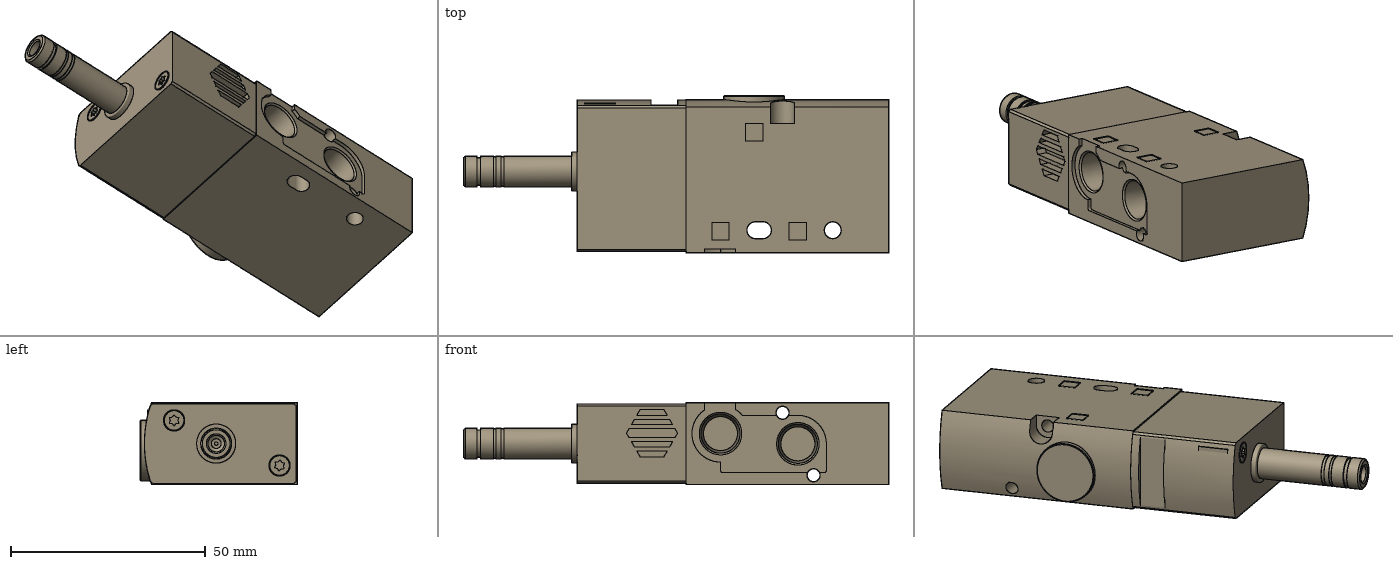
import cadquery as cq
import math

TOTAL_LENGTH = 109.1
FLANGE_START = 27.7
PILOT_START = 29.1
SEAM_X = 57.1
VALVE_HEIGHT = 21.1
MID_Z = VALVE_HEIGHT / 2
REAR_EDGE_Y = 37.4
REAR_CROWN_Y = 39.3

PORT_3 = (65.9, 13.1)
PORT_1 = (85.8, 10.5)
PORT_MOUTH_DIAMETER = 10.9
PORT_DIAMETER = 10.0
PORT_END_DIAMETER = 8.7
PORT_CHAMFER = 0.4
PORT_DEPTH = 9.8

RECESS_DEPTH = 1.0
RECESS_RADIUS = 7.3
RECESS_END_X = PORT_1[0] + RECESS_RADIUS
RECESS_BOTTOM_Z = 3.1
RECESS_CORNER_RADIUS = 0.7
OUTLET_START_X = 61.9
OUTLET_END_X = 69.7

BOSS_X = 74.5
BOSS_Z = 8.7
BOSS_DIAMETER = 15.6
BOSS_FACE_Y = 40.4
BOSS_CHAMFER = 0.2

CROSS_HOLE_DIAMETER = 3.3
UPPER_CROSS_HOLE = (81.8, 18.4)
LOWER_CROSS_HOLE = (89.8, 2.4)
HEAD_SEAT_WIDTH = 6.2
HEAD_SEAT_Y = 33.2
VERTICAL_HOLE_DIAMETER = 4.3
VERTICAL_HOLE_Y = 5.8
ROUND_HOLE_X = 94.7
SLOT_X = (PORT_1[0] + PORT_3[0]) / 2
SLOT_LENGTH = 6.2

LABEL_SIZE = 4.5
LABEL_DEPTH = 0.2
FRONT_LABEL_Y = 5.6
REAR_LABEL_Y = 30.9

PILOT_INSET = 0.3
PILOT_TOP_Z = VALVE_HEIGHT - PILOT_INSET
PILOT_REAR_EDGE_Y = 37.6
PILOT_CHAMFER = 0.5
REAR_GROOVE_START_X = 48.1
REAR_GROOVE_END_X = 54.9
REAR_GROOVE_Y = 38.0
PAD_START_X = 31.0
PAD_END_X = 39.0
PAD_BOTTOM_Z = 14.2
PAD_TOP_Z = 19.1
PAD_FACE_Y = 38.4

LOUVRE_X = 48.3
LOUVRE_Z = 13.2
LOUVRE_HALF_WIDTH = 6.5
LOUVRE_TIP_SLOPE = 1 / math.sqrt(3)
LOUVRE_DEPTH = 2.7
LOUVRE_SLOTS = ((-5.3, 1.5), (-2.8, 1.3), (0, 2.3), (2.8, 1.3), (5.3, 1.5))

TUBE_AXIS_Y = 20.8
TUBE_DIAMETER = 8.0
TUBE_TIP_CHAMFER = 0.4
GROOVE_DIAMETER = 7.1
GROOVE_START_X = 3.4
GROOVE_WIDTH = 1.0
SHALLOW_GROOVE_DIAMETER = 7.6
SHALLOW_GROOVES = ((7.6, 0.7), (9.6, 0.8))
FLANGE_DIAMETER = 10.0
FLANGE_FILLET = 0.2
BORE_MOUTH_DIAMETER = 5.0
BORE_DIAMETER = 4.3
BORE_CHAMFER = 0.3
BORE_DEPTH = 2.7
SEAT_DIAMETER = 2.5
SEAT_DEPTH = 3.3
PIN_HOLE_DIAMETER = 0.9
PIN_HOLE_DEPTH = 4.4

SCREW_PLACES = ((31.6, 16.5, 0), (4.6, 4.9, 6))
SCREW_DIAMETER = 5.5
SCREW_LENGTH = 5.5
SCREW_CHAMFER = 0.2
LOBE_COUNT = 6
DRIVE_OUTER_RADIUS = 1.4
DRIVE_INNER_RADIUS = 1.0
DRIVE_DEPTH = 1.1


def block(x_range, y_range, z_range):
    """Axis-aligned box between two limits on each axis."""
    size = [limits[1] - limits[0] for limits in (x_range, y_range, z_range)]
    corner = (x_range[0], y_range[0], z_range[0])
    return cq.Workplane("XY").box(*size, centered=False).translate(corner)


def cylinder_y(center_xz, diameter, start_y, end_y):
    """Cylinder along Y between two faces."""
    x, z = center_xz
    plane = cq.Workplane("XZ", origin=(x, start_y, z))
    return plane.circle(diameter / 2).extrude(start_y - end_y)


def cylinder_x(center_yz, diameter, start_x, end_x):
    """Cylinder along X between two faces."""
    y, z = center_yz
    return cq.Workplane("YZ", origin=(start_x, y, z)).circle(diameter / 2).extrude(end_x - start_x)


def crowned_prism(start_x, end_x, front_y, rear_edge_y, bottom_z, top_z):
    """Prism along X whose rear face is crowned to an arc."""
    return (
        cq.Workplane("YZ", origin=(start_x, 0, 0))
        .moveTo(rear_edge_y, bottom_z)
        .lineTo(front_y, bottom_z)
        .lineTo(front_y, top_z)
        .lineTo(rear_edge_y, top_z)
        .threePointArc((REAR_CROWN_Y, MID_Z), (rear_edge_y, bottom_z))
        .close()
        .extrude(end_x - start_x)
    )


def port(center_xz):
    """Tapered port bore with a chamfered mouth at the recess floor."""
    mouth = RECESS_DEPTH + PORT_CHAMFER
    floor = RECESS_DEPTH + PORT_DEPTH
    profile = (
        cq.Workplane("XY")
        .polyline(
            [
                (0, RECESS_DEPTH),
                (PORT_MOUTH_DIAMETER / 2, RECESS_DEPTH),
                (PORT_DIAMETER / 2, mouth),
                (PORT_END_DIAMETER / 2, floor),
                (0, floor),
            ]
        )
        .close()
    )
    x, z = center_xz
    return profile.revolve(360, (0, 0, 0), (0, 1, 0)).translate((x, 0, z))


def gasket_recess():
    """Shallow recess that wraps both front ports and opens at the top edge."""
    depth_range = (0, RECESS_DEPTH)
    recess_top_z = PORT_1[1] + RECESS_RADIUS
    floor = block((PORT_3[0], RECESS_END_X), depth_range, (RECESS_BOTTOM_Z, recess_top_z))
    floor = floor.edges("|Y and >X and >Z").fillet(RECESS_RADIUS)
    floor = floor.edges("|Y and <Z").fillet(RECESS_CORNER_RADIUS)
    outlet = block((OUTLET_START_X, OUTLET_END_X), depth_range, (PORT_3[1], VALVE_HEIGHT))
    return floor.union(cylinder_y(PORT_3, 2 * RECESS_RADIUS, *depth_range)).union(outlet)


def head_seat():
    """Round-bottomed screw head seat around the upper cross hole, open at the top and rear."""
    x, z = UPPER_CROSS_HOLE
    half = HEAD_SEAT_WIDTH / 2
    round_part = cylinder_y(UPPER_CROSS_HOLE, HEAD_SEAT_WIDTH, HEAD_SEAT_Y, REAR_CROWN_Y)
    open_part = block((x - half, x + half), (HEAD_SEAT_Y, REAR_CROWN_Y), (z, VALVE_HEIGHT))
    return round_part.union(open_part)


def vertical_holes():
    """Round hole and slot through the valve from top to bottom."""
    hole_plane = cq.Workplane("XY", origin=(ROUND_HOLE_X, VERTICAL_HOLE_Y, 0))
    round_hole = hole_plane.circle(VERTICAL_HOLE_DIAMETER / 2).extrude(VALVE_HEIGHT)
    slot_plane = cq.Workplane("XY", origin=(SLOT_X, VERTICAL_HOLE_Y, 0))
    slot = slot_plane.slot2D(SLOT_LENGTH, VERTICAL_HOLE_DIAMETER).extrude(VALVE_HEIGHT)
    return round_hole.union(slot)


def make_valve():
    """Valve housing with ports, recess, boss and mounting holes."""
    valve = crowned_prism(SEAM_X, TOTAL_LENGTH, 0, REAR_EDGE_Y, 0, VALVE_HEIGHT)
    boss = cylinder_y((BOSS_X, BOSS_Z), BOSS_DIAMETER, REAR_EDGE_Y, BOSS_FACE_Y)
    valve = valve.union(boss.faces(">Y").chamfer(BOSS_CHAMFER))
    valve = valve.cut(gasket_recess())
    for center in (PORT_3, PORT_1):
        valve = valve.cut(port(center))
    for center in (UPPER_CROSS_HOLE, LOWER_CROSS_HOLE):
        valve = valve.cut(cylinder_y(center, CROSS_HOLE_DIAMETER, 0, REAR_CROWN_Y))
    valve = valve.cut(head_seat()).cut(vertical_holes())
    label_places = [(PORT_3[0], FRONT_LABEL_Y), (PORT_1[0], FRONT_LABEL_Y), (BOSS_X, REAR_LABEL_Y)]
    label_plane = cq.Workplane("XY", origin=(0, 0, VALVE_HEIGHT - LABEL_DEPTH))
    return valve.cut(label_plane.pushPoints(label_places).rect(LABEL_SIZE, LABEL_SIZE).extrude(LABEL_DEPTH))


def louvre(offset, height):
    """One louvre slot, its ends cut to the hexagon outline."""
    half_height = height / 2
    heights = [offset - half_height, offset + half_height]
    if offset == 0:
        heights.insert(1, 0)
    right_end = [(LOUVRE_HALF_WIDTH - abs(z) * LOUVRE_TIP_SLOPE, z) for z in heights]
    left_end = [(-x, z) for x, z in reversed(right_end)]
    plane = cq.Workplane("XZ", origin=(LOUVRE_X, PILOT_INSET, LOUVRE_Z))
    return plane.polyline(right_end + left_end).close().extrude(-LOUVRE_DEPTH)


def armature_tube():
    """Grooved, flanged and bored tube about the X axis."""
    radius = TUBE_DIAMETER / 2
    axis_yz = (0, 0)
    tube = cylinder_x(axis_yz, TUBE_DIAMETER, 0, PILOT_START).faces("<X").chamfer(TUBE_TIP_CHAMFER)
    flange = cylinder_x(axis_yz, FLANGE_DIAMETER, FLANGE_START, PILOT_START)
    tube = tube.union(flange.faces("<X").edges().fillet(FLANGE_FILLET))
    grooves = [(GROOVE_START_X, GROOVE_WIDTH, GROOVE_DIAMETER)]
    grooves += [(start, width, SHALLOW_GROOVE_DIAMETER) for start, width in SHALLOW_GROOVES]
    for start, width, diameter in grooves:
        ring = cq.Workplane("YZ", origin=(start, 0, 0)).circle(radius).circle(diameter / 2)
        tube = tube.cut(ring.extrude(width))
    bore = (
        cq.Workplane("XY")
        .polyline(
            [
                (0, 0),
                (0, BORE_MOUTH_DIAMETER / 2),
                (BORE_CHAMFER, BORE_DIAMETER / 2),
                (BORE_DEPTH, BORE_DIAMETER / 2),
                (SEAT_DEPTH, SEAT_DIAMETER / 2),
                (SEAT_DEPTH, PIN_HOLE_DIAMETER / 2),
                (PIN_HOLE_DEPTH, PIN_HOLE_DIAMETER / 2),
                (PIN_HOLE_DEPTH, 0),
            ]
        )
        .close()
        .revolve(360, (0, 0, 0), (1, 0, 0))
    )
    return tube.cut(bore).translate((0, TUBE_AXIS_Y, MID_Z))


def make_pilot():
    """Pilot housing and its armature tube, with recesses for the screws."""
    pilot = crowned_prism(PILOT_START, SEAM_X, PILOT_INSET, PILOT_REAR_EDGE_Y, PILOT_INSET, PILOT_TOP_Z)
    pilot = pilot.edges("|X").chamfer(PILOT_CHAMFER)
    pad = block((PAD_START_X, PAD_END_X), (TUBE_AXIS_Y, PAD_FACE_Y), (PAD_BOTTOM_Z, PAD_TOP_Z))
    groove_x = (REAR_GROOVE_START_X, REAR_GROOVE_END_X)
    rear_groove = block(groove_x, (REAR_GROOVE_Y, REAR_CROWN_Y), (0, VALVE_HEIGHT))
    pilot = pilot.union(pad).cut(rear_groove)
    for offset, height in LOUVRE_SLOTS:
        pilot = pilot.cut(louvre(offset, height))
    for y, z, _ in SCREW_PLACES:
        pilot = pilot.cut(cylinder_x((y, z), SCREW_DIAMETER, PILOT_START, PILOT_START + SCREW_LENGTH))
    return pilot.union(armature_tube())


def make_screw(y, z, drive_turn):
    """Screw head flush with the pilot end face, with a six-lobed drive."""
    points = []
    for index in range(2 * LOBE_COUNT):
        radius = DRIVE_INNER_RADIUS if index % 2 else DRIVE_OUTER_RADIUS
        angle = math.pi / 2 + math.radians(drive_turn) + index * math.pi / LOBE_COUNT
        points.append((radius * math.cos(angle), radius * math.sin(angle)))
    drive = cq.Workplane("YZ", origin=(PILOT_START, y, z)).polyline(points).close().extrude(DRIVE_DEPTH)
    head = cylinder_x((y, z), SCREW_DIAMETER, PILOT_START, PILOT_START + SCREW_LENGTH)
    return head.faces("<X").chamfer(SCREW_CHAMFER).cut(drive)


valve = make_valve()
pilot = make_pilot()
screws = [make_screw(*place) for place in SCREW_PLACES]
result = cq.Compound.makeCompound([valve.val(), pilot.val(), *[screw.val() for screw in screws]])